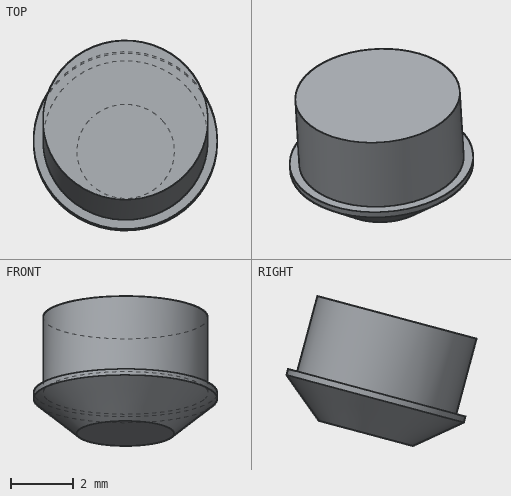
import cadquery as cq

body_diameter = 5.3
body_height = 2.505
flange_diameter = 5.9
flange_thickness = 0.2
nose_tip_diameter = 3.13
nose_height = 1.155
tilt_angle = 15.0

flange_top = flange_thickness
body_top = flange_top + body_height
half_profile = (
    cq.Workplane("XZ")
    .moveTo(0, -nose_height)
    .lineTo(nose_tip_diameter / 2, -nose_height)
    .lineTo(flange_diameter / 2, 0)
    .lineTo(flange_diameter / 2, flange_top)
    .lineTo(body_diameter / 2, flange_top)
    .lineTo(body_diameter / 2, body_top)
    .lineTo(0, body_top)
    .close()
)
upright_plug = half_profile.revolve(360, (0, 0, 0), (0, 1, 0))

result = upright_plug.rotate((0, 0, 0), (1, 0, 0), -tilt_angle)